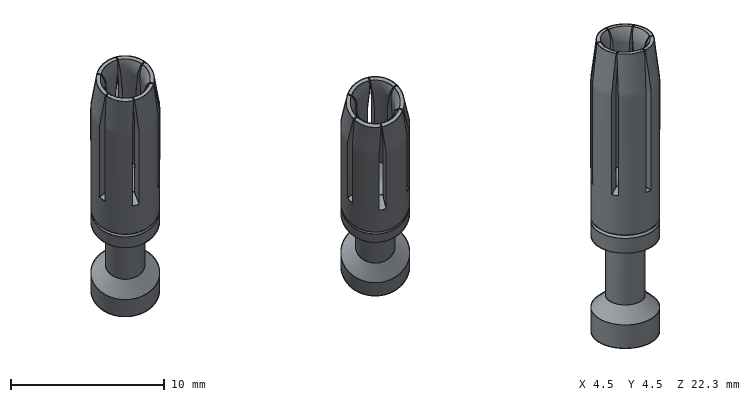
import cadquery as cq
import math

height = 22.3
body_radius = 4.5 / 2

foot_height = 1.8
stem_radius = 2.6 / 2
foot_cone_top = foot_height + body_radius - stem_radius

collar_bottom = 7.3
groove_bottom = 8.43
groove_top = 8.7
groove_depth = 0.15
nose_bend_bottom = 19.2
nose_bend_top = 19.51
nose_bend_radius = 2.23
nose_tip_radius = 1.9

bore_radius = stem_radius
bore_floor = 11.75
drill_point_angle = 118.0
mouth_radius = 1.63
mouth_depth = 1.0

slot_pair_count = 3
slot_bottom = 11.66
slot_width = 0.47
slot_tip_width = 0.07
pinch_start = nose_bend_bottom


def make_body():
    """Turned outside shape, as a half profile in the XZ plane."""
    groove_middle = (groove_bottom + groove_top) / 2
    return (
        cq.Workplane("XZ")
        .lineTo(body_radius, 0)
        .lineTo(body_radius, foot_height)
        .lineTo(stem_radius, foot_cone_top)
        .lineTo(stem_radius, collar_bottom)
        .lineTo(body_radius, collar_bottom)
        .lineTo(body_radius, groove_bottom)
        .lineTo(body_radius - groove_depth, groove_middle)
        .lineTo(body_radius, groove_top)
        .lineTo(body_radius, nose_bend_bottom)
        .tangentArcPoint((nose_bend_radius, nose_bend_top), relative=False)
        .lineTo(nose_tip_radius, height)
        .lineTo(0, height)
        .close()
        .revolve(360, (0, 0, 0), (0, 1, 0))
    )


def make_bore():
    """Bore volume; the mouth flares out along an arc tangent to the bore wall."""
    point_depth = bore_radius / math.tan(math.radians(drill_point_angle / 2))
    return (
        cq.Workplane("XZ")
        .moveTo(0, bore_floor - point_depth)
        .lineTo(bore_radius, bore_floor)
        .lineTo(bore_radius, height - mouth_depth)
        .tangentArcPoint((mouth_radius, height), relative=False)
        .lineTo(0, height)
        .close()
        .revolve(360, (0, 0, 0), (0, 1, 0))
    )


def make_slot_pair():
    """Cutter along X for two opposite slots, narrowing through the nose."""
    half_width = slot_width / 2
    half_tip = slot_tip_width / 2
    return (
        cq.Workplane("YZ")
        .polyline([
            (-half_width, slot_bottom),
            (half_width, slot_bottom),
            (half_width, pinch_start),
            (half_tip, height),
            (-half_tip, height),
            (-half_width, pinch_start),
        ])
        .close()
        .extrude(body_radius * 2, both=True)
    )


result = make_body().cut(make_bore())
for index in range(slot_pair_count):
    slot_angle = index * 180 / slot_pair_count
    result = result.cut(make_slot_pair().rotate((0, 0, 0), (0, 0, 1), slot_angle))